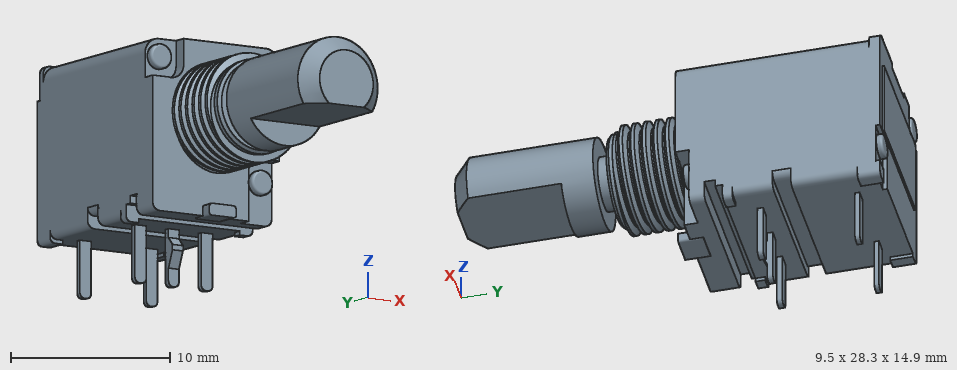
import cadquery as cq


OVERALL_LENGTH = 28.3
OVERALL_HEIGHT = 14.85
REAR_END = 13.35
SHAFT_TIP = REAR_END - OVERALL_LENGTH
OVERLAP = 0.28

HOUSING_WIDTH = 9.5
HALF_WIDTH = HOUSING_WIDTH / 2
HOUSING_TOP = 4.85
HOUSING_BOTTOM = -6.35
HOUSING_BACK = 13.25
LARGE_FILLET = 1.05
SMALL_FILLET = 0.5
REAR_WALL = 0.7
REAR_NOTCH_WIDTH = 3.0
REAR_NOTCH_DEPTH = 0.37
REAR_PANEL_WIDTH = 8.2
REAR_PANEL_HEIGHT = 5.2

POCKET_INNER_X = 2.43
POCKET_EDGE_Z = 2.25
POCKET_FILLET = 0.9
FRONT_POCKET_DEPTH = 0.88
REAR_POCKET_INNER_X = 2.83
REAR_POCKET_EDGE_Z = 2.65
REAR_POCKET_DEPTH = 0.28
RIVET_X = 3.8
RIVET_Z = 3.65
RIVET_RADIUS = 0.8
RIVET_EDGE = 0.17
FRONT_RIVET_HEIGHT = 0.45

GROOVE_ROOF = -5.52
GROOVE_SIDE_TOP = -5.05
GROOVE_FRONT, GROOVE_BACK = 6.28, 7.47
STEP_FRONT, STEP_MIDDLE, STEP_BACK = 1.87, 2.58, 3.05
LUG_BOTTOM = -6.6
LUG_WIDTH = 0.95
LUG_FILLET = 0.37
REAR_LUG_LENGTH = 1.47
FRONT_LUG_LENGTH = 0.62
TAB_WIDTH = 2.0
TAB_TOP, TAB_BOTTOM = -5.63, -6.4
TAB_PROJECTION = 0.75
TAB_TOP_FILLET = 0.23
TAB_BOTTOM_FILLET = 0.17

PIN_END = HOUSING_TOP - OVERALL_HEIGHT
PIN_ROOT = -5.38
PIN_TIP_FILLET = 0.35
PIN_SPACING = 2.5
OUTER_PIN_WIDTH = 0.85
MIDDLE_PIN_WIDTH = 0.8
FRONT_ROW_Y, FRONT_PIN_THICKNESS = 5.05, 0.37
REAR_ROW_Y, REAR_PIN_THICKNESS = 11.32, 0.3
BARB_TOP, BARB_BOTTOM = -6.9, -8.85
BARB_CREST_TOP, BARB_CREST_BOTTOM = -7.41, -7.75
BARB_HEIGHT = 0.45

BUSHING_LENGTH = 4.95
BUSHING_RADIUS = 3.03
BUSHING_CHAMFER = 0.2
THREAD_RADIUS = 3.5
SIX_TURNS = 4.5
THREAD_PITCH = SIX_TURNS / 6
THREAD_END = 4.41
THREAD_OFFSET = 0.08
THREAD_CREST = 0.23
THREAD_ROOT = 0.7
THREAD_SINK = 0.08

NECK_RADIUS = 1.75
NECK_LENGTH = 0.82
SHAFT_RADIUS = 3.0
SHAFT_START = -(BUSHING_LENGTH + NECK_LENGTH)
SHAFT_CHAMFER = 1.0
FLAT_START = -7.92
FLAT_Z = -1.53


def block(x0, x1, y0, y1, z0, z1):
    """Box between opposite corners."""
    return cq.Workplane("XY").box(x1 - x0, y1 - y0, z1 - z0, centered=False).translate((x0, y0, z0))


def cylinder(radius, y0, y1, x=0, z=0):
    """Cylinder along Y from y0 back to y1."""
    return cq.Workplane("XZ", origin=(x, y1, z)).circle(radius).extrude(y1 - y0)


def housing_section(y0, y1, top_fillet, bottom=HOUSING_BOTTOM):
    """Length of housing with rounded long edges."""
    section = block(-HALF_WIDTH, HALF_WIDTH, y0, y1, bottom, HOUSING_TOP)
    section = section.edges("|Y and >Z").fillet(top_fillet)
    return section.edges("|Y and <Z").fillet(SMALL_FILLET)


def corner_pockets(y0, y1, inner_x, edge_z):
    """Cutters for the upper -X corner and the lower +X corner."""
    upper = block(-2 * HALF_WIDTH, -inner_x, y0, y1, edge_z, edge_z + HOUSING_WIDTH)
    upper = upper.edges("|Y and >X and <Z").fillet(POCKET_FILLET)
    return upper.union(upper.rotate((0, 0, 0), (0, 1, 0), 180))


def rivets(y0, y1, end):
    """Pair of rivet heads, rounded at the given end ("<Y" or ">Y")."""
    upper = cylinder(RIVET_RADIUS, y0, y1, -RIVET_X, RIVET_Z).faces(end).edges().fillet(RIVET_EDGE)
    return upper.union(upper.rotate((0, 0, 0), (0, 1, 0), 180))


def housing_shell():
    """Rounded housing with corner pockets, rivets and the rear details."""
    wall_y = HOUSING_BACK - REAR_WALL
    shell = housing_section(0, wall_y, LARGE_FILLET)
    shell = shell.union(housing_section(wall_y, HOUSING_BACK, SMALL_FILLET))
    half_notch = REAR_NOTCH_WIDTH / 2
    shell = shell.cut(block(-half_notch, half_notch, wall_y, REAR_END,
                            HOUSING_TOP - REAR_NOTCH_DEPTH, HOUSING_TOP))
    half_panel = REAR_PANEL_WIDTH / 2
    half_height = REAR_PANEL_HEIGHT / 2
    shell = shell.union(block(-half_panel, half_panel, wall_y, REAR_END, -half_height, half_height))

    shell = shell.cut(corner_pockets(0, FRONT_POCKET_DEPTH, POCKET_INNER_X, POCKET_EDGE_Z))
    rear_floor = HOUSING_BACK - REAR_POCKET_DEPTH
    shell = shell.cut(corner_pockets(rear_floor, REAR_END, REAR_POCKET_INNER_X, REAR_POCKET_EDGE_Z))
    shell = shell.union(rivets(FRONT_POCKET_DEPTH - FRONT_RIVET_HEIGHT, FRONT_POCKET_DEPTH + OVERLAP, "<Y"))
    return shell.union(rivets(rear_floor - OVERLAP, REAR_END, ">Y"))


def underside_cutouts():
    """Groove with rounded roof edges and the stepped slot, both across the full width."""
    groove = block(-HALF_WIDTH, HALF_WIDTH, GROOVE_FRONT, GROOVE_BACK, HOUSING_BOTTOM, GROOVE_SIDE_TOP)
    groove = groove.cut(housing_section(GROOVE_FRONT, GROOVE_BACK, LARGE_FILLET, GROOVE_ROOF))
    deep = block(-HALF_WIDTH, HALF_WIDTH, STEP_FRONT, STEP_MIDDLE, HOUSING_BOTTOM, GROOVE_SIDE_TOP)
    shallow = block(-HALF_WIDTH, HALF_WIDTH, STEP_MIDDLE, STEP_BACK, HOUSING_BOTTOM, GROOVE_ROOF)
    return groove.union(deep).union(shallow)


def lug_pair(y0, length):
    """Standoff lugs continuing both side walls below the housing."""
    lug = block(-HALF_WIDTH, LUG_WIDTH - HALF_WIDTH, y0, y0 + length, LUG_BOTTOM, GROOVE_ROOF)
    lug = lug.edges("|Y and <X and <Z").fillet(LUG_FILLET)
    return lug.union(lug.mirror("YZ"))


def locating_tab():
    """Tab projecting from the lower front edge."""
    half = TAB_WIDTH / 2
    tab = block(-half, half, -TAB_PROJECTION, FRONT_POCKET_DEPTH, TAB_BOTTOM, TAB_TOP)
    tab = tab.edges("|Y and >Z").fillet(TAB_TOP_FILLET)
    return tab.edges("|Y and <Z").fillet(TAB_BOTTOM_FILLET)


def pin(x, y, width, thickness):
    """Flat terminal pin with a rounded tip."""
    half = width / 2
    blade = block(x - half, x + half, y - thickness / 2, y + thickness / 2, PIN_END, PIN_ROOT)
    return blade.edges("|Y and <Z").fillet(PIN_TIP_FILLET)


def barb():
    """Retaining kink on the front of the middle pin."""
    face_y = FRONT_ROW_Y - FRONT_PIN_THICKNESS / 2
    crest_y = face_y - BARB_HEIGHT
    outline = [
        (FRONT_ROW_Y, BARB_TOP),
        (face_y, BARB_TOP),
        (crest_y, BARB_CREST_TOP),
        (crest_y, BARB_CREST_BOTTOM),
        (face_y, BARB_BOTTOM),
        (FRONT_ROW_Y, BARB_BOTTOM),
    ]
    return cq.Workplane("YZ").polyline(outline).close().extrude(MIDDLE_PIN_WIDTH / 2, both=True)


def pins():
    """Three front pins and two rear pins."""
    group = pin(0, FRONT_ROW_Y, MIDDLE_PIN_WIDTH, FRONT_PIN_THICKNESS).union(barb())
    for x in (-PIN_SPACING, PIN_SPACING):
        group = group.union(pin(x, FRONT_ROW_Y, OUTER_PIN_WIDTH, FRONT_PIN_THICKNESS))
        group = group.union(pin(x, REAR_ROW_Y, OUTER_PIN_WIDTH, REAR_PIN_THICKNESS))
    return group


def thread():
    """Right-hand helical ridge, built along +Z and then laid along -Y."""
    root_radius = BUSHING_RADIUS - THREAD_SINK
    start = THREAD_OFFSET - THREAD_PITCH
    length = THREAD_END - start + THREAD_PITCH
    path = cq.Workplane(obj=cq.Wire.makeHelix(THREAD_PITCH, length, root_radius))
    profile = (
        cq.Workplane("XZ")
        .moveTo(root_radius, -THREAD_ROOT / 2)
        .lineTo(THREAD_RADIUS, -THREAD_CREST / 2)
        .lineTo(THREAD_RADIUS, THREAD_CREST / 2)
        .lineTo(root_radius, THREAD_ROOT / 2)
        .close()
    )
    ridge = profile.sweep(path, isFrenet=True).translate((0, 0, start))
    ridge = ridge.rotate((0, 0, 0), (1, 0, 0), 90)
    return ridge.intersect(cylinder(2 * THREAD_RADIUS, -THREAD_END, 0))


def bushing():
    """Threaded bushing with a plain chamfered end."""
    core = cylinder(BUSHING_RADIUS, -BUSHING_LENGTH, OVERLAP)
    core = core.faces("<Y").edges().chamfer(BUSHING_CHAMFER)
    return core.union(thread())


def shaft():
    """Shaft with a neck, a chamfered tip and a flat on its underside."""
    body = cylinder(SHAFT_RADIUS, SHAFT_TIP, SHAFT_START).faces("<Y").edges().chamfer(SHAFT_CHAMFER)
    body = body.cut(block(-SHAFT_RADIUS, SHAFT_RADIUS, SHAFT_TIP, FLAT_START, -SHAFT_RADIUS, FLAT_Z))
    return body.union(cylinder(NECK_RADIUS, SHAFT_START - OVERLAP, OVERLAP - BUSHING_LENGTH))


result = housing_shell().cut(underside_cutouts())
result = result.union(lug_pair(HOUSING_BACK - REAR_LUG_LENGTH, REAR_LUG_LENGTH))
result = result.union(lug_pair(STEP_BACK, FRONT_LUG_LENGTH))
result = result.union(locating_tab()).union(pins())
result = result.union(bushing()).union(shaft())